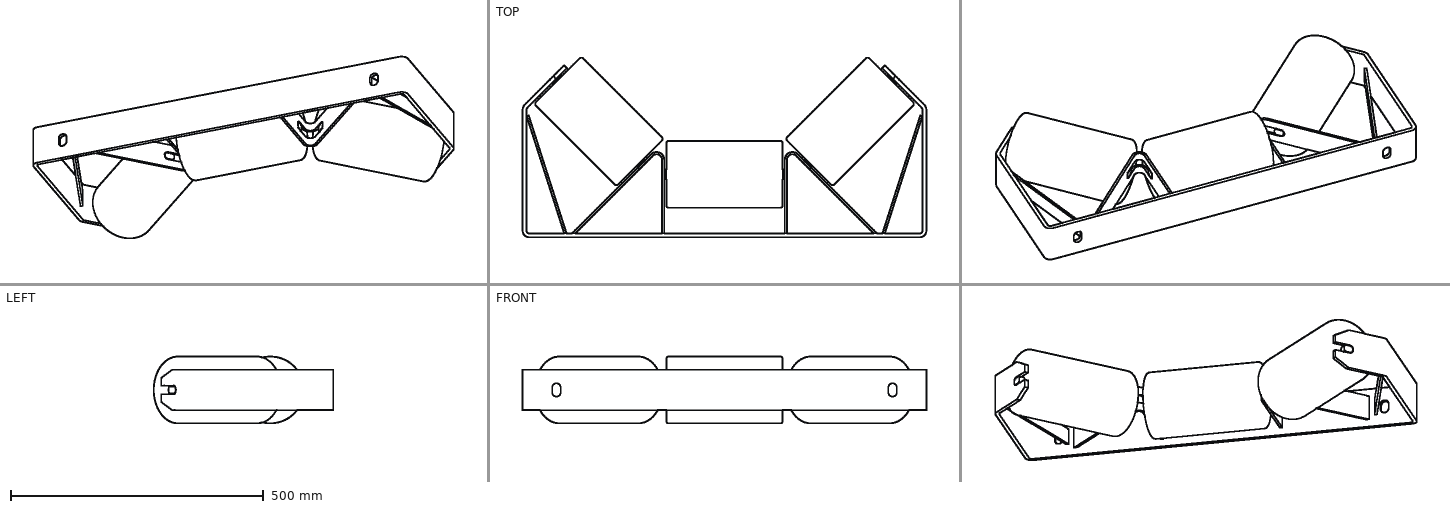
import cadquery as cq
import math


FRAME_LENGTH = 800.0
STRAP_THICKNESS = 8.0
STRAP_WIDTH = 80.0
BASE_BEND_RADIUS = 6.0
ARM_BEND_RADIUS = 7.0
ARM_TIP_Y = 341.0
ARM_CHAMFER_LENGTH = 30.0
ARM_CHAMFER_WIDTH = 16.0
MOUNT_HOLE_X = 333.0
MOUNT_HOLE_WIDTH = 17.0
MOUNT_HOLE_HEIGHT = 26.0

ROLLER_DIAMETER = 133.0
ROLLER_LENGTH = 230.0
ROLLER_EDGE_RADIUS = 5.0
ROLLER_GAP = 4.0
LEVEL_AXIS_Y = 125.0
TILT_CENTER_X = 249.0
TILT_CENTER_Y = 230.0

SHAFT_DIAMETER = 20.0
SHAFT_FLATS_WIDTH = 14.0
JOURNAL_LENGTH = 2.0
SLOT_WIDTH = 17.0
SLOT_DEPTH = 11.0

BRACKET_THICKNESS = 5.0
BRACKET_WIDTH = 50.0
BRACKET_BEND_RADIUS = 10.0

STRUT_THICKNESS = 5.0
STRUT_WIDTH = 32.0
STRUT_FOOT_X = 318.0
STRUT_TOP_Y = 240.0

HALF_LENGTH = FRAME_LENGTH / 2
HALF_ROLLER = ROLLER_LENGTH / 2
SUPPORT_OFFSET = HALF_ROLLER + ROLLER_GAP
DIAGONAL = math.sqrt(2)

TILT_CENTER_LINE = TILT_CENTER_Y + TILT_CENTER_X
ARM_OUTER_LINE = TILT_CENTER_LINE + DIAGONAL * (SUPPORT_OFFSET + STRAP_THICKNESS)
BRACKET_LINE = TILT_CENTER_LINE - DIAGONAL * SUPPORT_OFFSET


def mirrored(body):
    """The same body on the +X side."""
    return body.mirror("YZ")


def at_tilted_roller():
    """Workplane at the -X roller's centre: local X along its axis (inwards), local Y up its supports."""
    plane = cq.Plane(origin=(-TILT_CENTER_X, TILT_CENTER_Y, 0), xDir=(1, -1, 0), normal=(0, 0, 1))
    return cq.Workplane(plane)


def at_level_roller():
    """Workplane at the level roller's centre: local X along its axis."""
    return cq.Workplane("XY", origin=(0, LEVEL_AXIS_Y, 0))


def shaft_slot(place, near, far, length):
    """Cutter for an open slot, running from local X = near to far and upwards from the shaft axis."""
    round_center = SLOT_WIDTH / 2 - SLOT_DEPTH
    thickness = far - near
    straight = place.center((near + far) / 2, round_center + length / 2).box(thickness, length, SLOT_WIDTH)
    rounded = (
        place.center(near, round_center)
        .transformed(rotate=(0, 90, 0))
        .circle(SLOT_WIDTH / 2)
        .extrude(thickness)
    )
    return straight.union(rounded)


def make_roller(place, end_reach):
    """A roller with its shaft; end_reach gives how far the shaft goes from the centre each way."""
    start_reach, stop_reach = end_reach
    axis = place.transformed(rotate=(0, 90, 0))
    drum = (
        axis.workplane(offset=-HALF_ROLLER)
        .circle(ROLLER_DIAMETER / 2)
        .extrude(ROLLER_LENGTH)
        .edges()
        .fillet(ROLLER_EDGE_RADIUS)
    )
    shaft_length = start_reach + stop_reach
    shaft = axis.workplane(offset=-start_reach).circle(SHAFT_DIAMETER / 2).extrude(shaft_length)
    flats = place.box(2 * shaft_length, SHAFT_DIAMETER, SHAFT_FLATS_WIDTH)
    journal_reach = HALF_ROLLER + JOURNAL_LENGTH
    journal = axis.workplane(offset=-journal_reach).circle(SHAFT_DIAMETER / 2).extrude(2 * journal_reach)
    return drum.union(shaft.intersect(flats)).union(journal)


def round_corner(body, x, y, radius):
    """Round the edge parallel to Z that passes through (x, y)."""
    near = 1.0
    corner_box = cq.selectors.BoxSelector((x - near, y - near, -near), (x + near, y + near, near))
    return body.edges("|Z").edges(corner_box).fillet(radius)


def make_frame():
    """Strap bent into a base, two walls and two arms leaning inwards at 45 degrees."""
    arm_tip_x = ARM_TIP_Y - ARM_OUTER_LINE
    arm_knee_y = ARM_OUTER_LINE - HALF_LENGTH
    step = STRAP_THICKNESS / DIAGONAL
    inner_x = HALF_LENGTH - STRAP_THICKNESS
    inner_knee_y = ARM_OUTER_LINE - DIAGONAL * STRAP_THICKNESS - inner_x
    half_outline = [
        (0, 0),
        (-HALF_LENGTH, 0),
        (-HALF_LENGTH, arm_knee_y),
        (arm_tip_x, ARM_TIP_Y),
        (arm_tip_x + step, ARM_TIP_Y - step),
        (-inner_x, inner_knee_y),
        (-inner_x, STRAP_THICKNESS),
        (0, STRAP_THICKNESS),
    ]
    half = cq.Workplane("XY").polyline(half_outline).close().extrude(STRAP_WIDTH / 2, both=True)

    half = round_corner(half, -HALF_LENGTH, 0, BASE_BEND_RADIUS + STRAP_THICKNESS)
    half = round_corner(half, -inner_x, STRAP_THICKNESS, BASE_BEND_RADIUS)
    half = round_corner(half, -HALF_LENGTH, arm_knee_y, ARM_BEND_RADIUS + STRAP_THICKNESS)
    half = round_corner(half, -inner_x, inner_knee_y, ARM_BEND_RADIUS)

    tip_reach = DIAGONAL * (ARM_TIP_Y - TILT_CENTER_Y) - SUPPORT_OFFSET - STRAP_THICKNESS
    arm_face = (
        at_tilted_roller()
        .transformed(rotate=(0, 90, 0))
        .workplane(offset=-SUPPORT_OFFSET - STRAP_THICKNESS)
    )
    for side in (-1, 1):
        edge = side * STRAP_WIDTH / 2
        clip = (
            arm_face.moveTo(edge, tip_reach)
            .lineTo(edge - side * ARM_CHAMFER_WIDTH, tip_reach)
            .lineTo(edge, tip_reach - ARM_CHAMFER_LENGTH)
            .close()
            .extrude(STRAP_THICKNESS)
        )
        half = half.cut(clip)
    slot = shaft_slot(at_tilted_roller(), -SUPPORT_OFFSET - STRAP_THICKNESS, -SUPPORT_OFFSET, 2 * tip_reach)
    half = half.cut(slot)

    hole = (
        cq.Workplane("XZ")
        .center(-MOUNT_HOLE_X, 0)
        .slot2D(MOUNT_HOLE_HEIGHT, MOUNT_HOLE_WIDTH, 90)
        .extrude(-STRAP_THICKNESS)
    )
    half = half.cut(hole)
    return half.union(mirrored(half))


def make_bracket():
    """Strip bent over the top: an upright leg beside the level roller, a 45-degree leg by the tilted one."""
    outer_radius = BRACKET_BEND_RADIUS + BRACKET_THICKNESS
    bend_x = -SUPPORT_OFFSET - outer_radius
    bend_y = BRACKET_LINE + bend_x - DIAGONAL * outer_radius
    foot_y = STRAP_THICKNESS

    def on_bend(radius, angle):
        turn = math.radians(angle)
        return (bend_x + radius * math.cos(turn), bend_y + radius * math.sin(turn))

    leg_end = 0
    slope_end = 135
    crown = (leg_end + slope_end) / 2
    inner = BRACKET_BEND_RADIUS
    slope_foot_x = foot_y - BRACKET_LINE
    bracket = (
        cq.Workplane("XY")
        .moveTo(slope_foot_x, foot_y)
        .lineTo(*on_bend(outer_radius, slope_end))
        .threePointArc(on_bend(outer_radius, crown), on_bend(outer_radius, leg_end))
        .lineTo(-SUPPORT_OFFSET, foot_y)
        .lineTo(-SUPPORT_OFFSET - BRACKET_THICKNESS, foot_y)
        .lineTo(*on_bend(inner, leg_end))
        .threePointArc(on_bend(inner, crown), on_bend(inner, slope_end))
        .lineTo(slope_foot_x + DIAGONAL * BRACKET_THICKNESS, foot_y)
        .close()
        .extrude(BRACKET_WIDTH / 2, both=True)
    )
    crown_rise = bend_y + outer_radius - LEVEL_AXIS_Y + SLOT_DEPTH
    level_slot = shaft_slot(at_level_roller(), -SUPPORT_OFFSET - outer_radius, -SUPPORT_OFFSET, crown_rise)
    tilted_slot = shaft_slot(at_tilted_roller(), SUPPORT_OFFSET, SUPPORT_OFFSET + outer_radius, crown_rise)
    return bracket.cut(level_slot).cut(tilted_slot)


def make_strut():
    """Flat brace leaning from the base to the wall, which its square-cut top touches with one edge."""
    foot_y = STRAP_THICKNESS
    wall_x = STRAP_THICKNESS - HALF_LENGTH
    lean = math.atan2(STRUT_FOOT_X + wall_x, STRUT_TOP_Y - foot_y)
    outline = [
        (-STRUT_FOOT_X, foot_y),
        (wall_x, STRUT_TOP_Y),
        (wall_x + STRUT_THICKNESS * math.cos(lean), STRUT_TOP_Y - STRUT_THICKNESS * math.sin(lean)),
        (-STRUT_FOOT_X + STRUT_THICKNESS / math.cos(lean), foot_y),
    ]
    return cq.Workplane("XY").polyline(outline).close().extrude(STRUT_WIDTH / 2, both=True)


BRACKET_REACH = SUPPORT_OFFSET + BRACKET_THICKNESS
ARM_REACH = SUPPORT_OFFSET + STRAP_THICKNESS

frame = make_frame()
level_roller = make_roller(at_level_roller(), (BRACKET_REACH, BRACKET_REACH))
tilted_roller = make_roller(at_tilted_roller(), (ARM_REACH, BRACKET_REACH))
bracket = make_bracket()
strut = make_strut()

bodies = [frame.val(), level_roller.val()]
for paired_body in (tilted_roller, bracket, strut):
    bodies.append(paired_body.val())
    bodies.append(mirrored(paired_body).val())

result = cq.Compound.makeCompound(bodies)